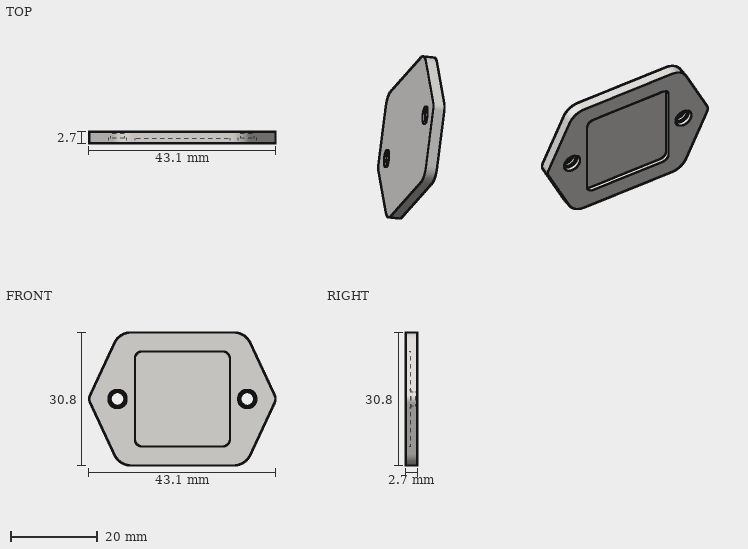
import cadquery as cq
import math

length = 43.05
height = 30.8
thickness = 2.7
side_angle = math.radians(25.0)
tip_radius = 2.0
corner_radius = 4.3

pocket_side = 21.95
pocket_corner_radius = 1.72
pocket_depth = 1.1

hole_spacing = 29.98
hole_diameter = 3.2
counterbore_diameter = 4.2
counterbore_depth = 1.25
rear_chamfer = 0.45

tip_x = length / 2 + tip_radius * (1 / math.cos(side_angle) - 1)
shoulder_x = tip_x - height / 2 * math.tan(side_angle)


def make_plate():
    """Hexagonal plate with its front face at the -Y side."""
    outline = [
        (tip_x, 0),
        (shoulder_x, height / 2),
        (-shoulder_x, height / 2),
        (-tip_x, 0),
        (-shoulder_x, -height / 2),
        (shoulder_x, -height / 2),
    ]
    plate = cq.Workplane("XZ").polyline(outline).close().extrude(thickness / 2, both=True)
    plate = plate.edges("|Y").edges("<X or >X").fillet(tip_radius)
    return plate.edges("|Y").edges("<Z or >Z").fillet(corner_radius)


def cut_pocket(plate):
    """Sink the rounded square pocket into the front face."""
    pocket = (
        cq.Workplane("XZ", origin=(0, -thickness / 2, 0))
        .rect(pocket_side, pocket_side)
        .extrude(-pocket_depth)
        .edges("|Y")
        .fillet(pocket_corner_radius)
    )
    return plate.cut(pocket)


def cut_screw_holes(plate):
    """Drill one counterbored hole near each tip and break its rear edge."""
    plate = (
        plate.copyWorkplane(cq.Workplane("XZ", origin=(0, -thickness / 2, 0)))
        .pushPoints([(-hole_spacing / 2, 0), (hole_spacing / 2, 0)])
        .cboreHole(hole_diameter, counterbore_diameter, counterbore_depth)
    )
    return plate.faces(">Y").edges(cq.selectors.RadiusNthSelector(0)).chamfer(rear_chamfer)


result = cut_screw_holes(cut_pocket(make_plate()))